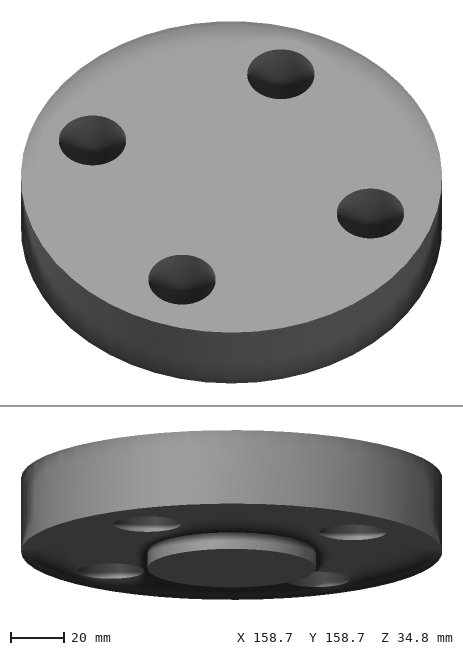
import cadquery as cq

flange_diameter = 158.7
total_height = 34.8
raised_face_diameter = 63.5
raised_face_height = 6.3
flange_thickness = total_height - raised_face_height

bolt_hole_count = 4
bolt_hole_diameter = 25.4
bolt_circle_diameter = 111.1

raised_face = cq.Workplane("XY").circle(raised_face_diameter / 2).extrude(raised_face_height)
disc = (
    cq.Workplane("XY", origin=(0, 0, raised_face_height))
    .circle(flange_diameter / 2)
    .extrude(flange_thickness)
)

bolt_holes = (
    cq.Workplane("XY")
    .polarArray(bolt_circle_diameter / 2, 0, 360, bolt_hole_count)
    .circle(bolt_hole_diameter / 2)
    .extrude(total_height)
)

result = disc.union(raised_face).cut(bolt_holes)